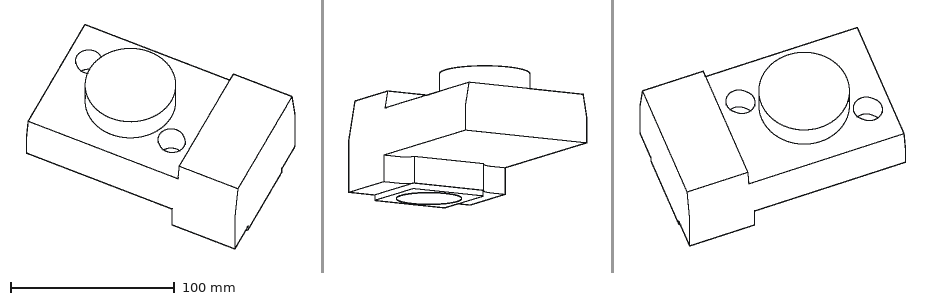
import cadquery as cq
import math

LENGTH = 141.0
WIDTH = 86.0
X_MIN = -50.0
X_MAX = X_MIN + LENGTH
PLATE_TOP = 30.0
STEP_TOP = 40.7
STEP_X = 51.3
TAPER_START = 15.5
TAPER_ANGLE = 10.0

BOSS_DIAMETER = 55.4
BOSS_HEIGHT = 16.8

FOOT_DEPTH = 16.5
FOOT_X = 48.5
NOSE_LENGTH = 5.6
NOSE_WIDTH = 48.8
NOSE_FLARE = 8.4

PAD_LENGTH = 47.5
PAD_WIDTH = 50.0
PAD_THICKNESS = 3.4
PAD_CORNER_RADIUS = 1.25
DISC_DIAMETER = 40.0
DISC_THICKNESS = 0.3

SLOT_WIDTH = 16.0
SLOT_LENGTH = 18.0
SLOT_ANGLE = -45.0
SLOT_X = 35.5
SLOT_Y = 16.1
SLOT_DEPTH = 20.0


def make_body():
    """Stepped plate whose long sides lean inwards above the taper line."""
    half_width = WIDTH / 2
    lean = (STEP_TOP - TAPER_START) * math.tan(math.radians(TAPER_ANGLE))
    cross_section = [
        (-half_width, 0),
        (half_width, 0),
        (half_width, TAPER_START),
        (half_width - lean, STEP_TOP),
        (lean - half_width, STEP_TOP),
        (-half_width, TAPER_START),
    ]
    body = (
        cq.Workplane("YZ", origin=(X_MIN, 0, 0))
        .polyline(cross_section)
        .close()
        .extrude(LENGTH)
    )
    step_cut = (
        cq.Workplane("XY")
        .box(STEP_X - X_MIN, WIDTH, STEP_TOP - PLATE_TOP, centered=(False, True, False))
        .translate((X_MIN, 0, PLATE_TOP))
    )
    return body.cut(step_cut)


def make_boss():
    return (
        cq.Workplane("XY", origin=(0, 0, PLATE_TOP))
        .circle(BOSS_DIAMETER / 2)
        .extrude(BOSS_HEIGHT)
    )


def make_foot():
    """Block with a flat nose; each nose flank is an arc tangent to the block face."""
    half_width = WIDTH / 2
    half_nose = NOSE_WIDTH / 2
    flare_y = half_nose + NOSE_FLARE
    nose_x = FOOT_X - NOSE_LENGTH
    return (
        cq.Workplane("XY")
        .moveTo(X_MAX, -half_width)
        .lineTo(X_MAX, half_width)
        .lineTo(FOOT_X, half_width)
        .lineTo(FOOT_X, flare_y)
        .tangentArcPoint((nose_x, half_nose), relative=False)
        .lineTo(nose_x, -half_nose)
        .radiusArc((FOOT_X, -flare_y), flank_radius())
        .lineTo(FOOT_X, -half_width)
        .close()
        .extrude(-FOOT_DEPTH)
    )


def flank_radius():
    """Radius of an arc tangent to the block face that reaches the nose corner."""
    return (NOSE_LENGTH**2 + NOSE_FLARE**2) / (2 * NOSE_LENGTH)


def make_pad():
    pad_x = X_MAX - PAD_LENGTH / 2
    pad = (
        cq.Workplane("XY", origin=(pad_x, 0, -FOOT_DEPTH))
        .rect(PAD_LENGTH, PAD_WIDTH)
        .extrude(-PAD_THICKNESS)
        .edges("|Z")
        .fillet(PAD_CORNER_RADIUS)
    )
    disc = (
        cq.Workplane("XY", origin=(pad_x, 0, -FOOT_DEPTH - PAD_THICKNESS))
        .circle(DISC_DIAMETER / 2)
        .extrude(-DISC_THICKNESS)
    )
    return pad.union(disc)


def make_pockets():
    return (
        cq.Workplane("XY", origin=(0, 0, PLATE_TOP))
        .pushPoints([(-SLOT_X, SLOT_Y), (SLOT_X, -SLOT_Y)])
        .slot2D(SLOT_LENGTH, SLOT_WIDTH, SLOT_ANGLE)
        .extrude(-SLOT_DEPTH)
    )


result = make_body().union(make_boss()).union(make_foot()).union(make_pad()).cut(make_pockets())